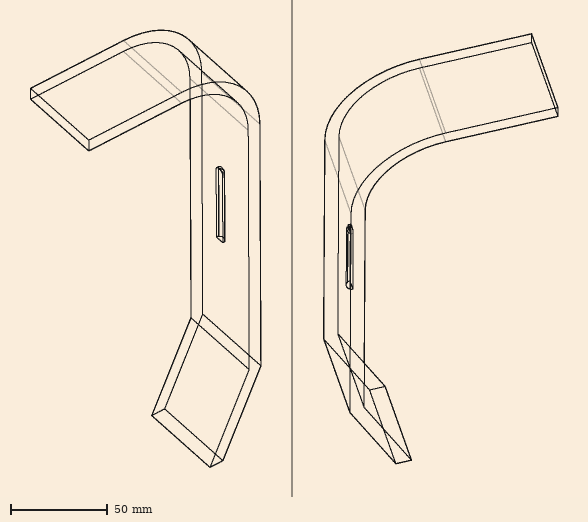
import cadquery as cq
import math

height = 275.5
depth = 112.7
width = 50.0
thickness = 7.7

outer_bend_radius = 51.2
inner_bend_radius = outer_bend_radius - thickness
foot_height = 53.2
foot_angle = math.radians(25.1)
lean_angle = math.radians(0.22)

slot_radius = 2.8
slot_start = 73.5
slot_straight = 48.0
slot_depth = 1.5

upright_normal = (math.cos(lean_angle), math.sin(lean_angle))
foot_normal = (math.cos(foot_angle), -math.sin(foot_angle))

crease_scale = thickness / (1 + math.cos(lean_angle + foot_angle))
inner_crease_y = -crease_scale * (upright_normal[0] + foot_normal[0])
inner_crease_z = foot_height - crease_scale * (upright_normal[1] + foot_normal[1])

bend_z = height - outer_bend_radius
upright_rise = bend_z + outer_bend_radius * upright_normal[1] - foot_height
bend_y = -outer_bend_radius * upright_normal[0] - upright_rise * math.tan(lean_angle)


def bend_point(radius, angle):
    """Point (Y, Z) on the top bend, with the angle counted from +Y towards +Z."""
    return (bend_y + radius * math.cos(angle), bend_z + radius * math.sin(angle))


def make_strip():
    """Bent strip: level arm, round bend, upright and sloping foot."""
    mid_angle = (lean_angle + math.pi / 2) / 2
    foot_reach = foot_height * math.tan(foot_angle)
    foot_end_length = thickness / math.cos(foot_angle)
    return (
        cq.Workplane("YZ", origin=(-width / 2, 0, 0))
        .moveTo(0, foot_height)
        .lineTo(*bend_point(outer_bend_radius, lean_angle))
        .threePointArc(bend_point(outer_bend_radius, mid_angle), (bend_y, height))
        .lineTo(-depth, height)
        .lineTo(-depth, height - thickness)
        .lineTo(bend_y, height - thickness)
        .threePointArc(
            bend_point(inner_bend_radius, mid_angle),
            bend_point(inner_bend_radius, lean_angle),
        )
        .lineTo(inner_crease_y, inner_crease_z)
        .lineTo(-foot_reach - foot_end_length, 0)
        .lineTo(-foot_reach, 0)
        .close()
        .extrude(width)
    )


def make_recess():
    """Shallow slot, flat below and round above, with a round groove along its straight part."""
    inner_face = cq.Plane(
        origin=(0, inner_crease_y, inner_crease_z),
        xDir=(1, 0, 0),
        normal=(0, -upright_normal[0], -upright_normal[1]),
    )
    slot_end = slot_start + slot_straight
    slot = (
        cq.Workplane(inner_face)
        .moveTo(-slot_radius, slot_start)
        .lineTo(slot_radius, slot_start)
        .lineTo(slot_radius, slot_end)
        .threePointArc((0, slot_end + slot_radius), (-slot_radius, slot_end))
        .close()
        .extrude(-slot_depth)
    )
    groove = (
        cq.Workplane(inner_face)
        .transformed(rotate=(-90, 0, 0), offset=(0, slot_start, 0))
        .circle(slot_radius)
        .extrude(slot_straight)
    )
    return slot.union(groove)


result = make_strip().cut(make_recess())